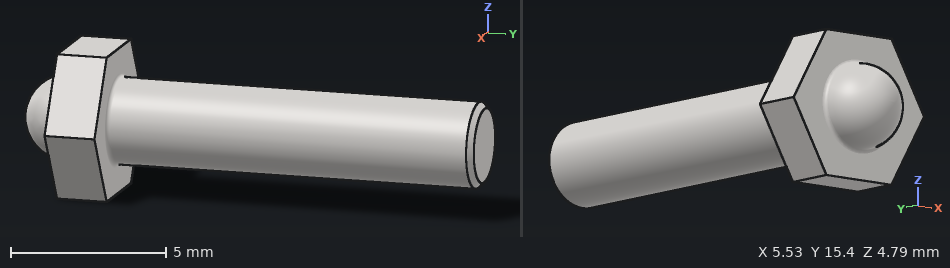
import cadquery as cq
import math

total_length = 15.39
across_flats = 4.79
across_corners = across_flats / math.cos(math.radians(30))
head_thickness = 1.68
shank_radius = 1.42
end_chamfer = 0.2
shank_fillet = 0.14
dome_fillet = 0.12

head_front = shank_radius
head_back = head_front + head_thickness
shank_length = total_length - head_back


def hex_head():
    """Hexagonal head with two opposite corners on the X axis."""
    back_face = cq.Workplane("XZ", origin=(0, head_back, 0))
    return back_face.polygon(6, across_corners).extrude(head_thickness)


def chamfered_shank():
    """Plain round shank with a chamfered free end."""
    shank = cq.Workplane("XZ", origin=(0, head_back, 0)).circle(shank_radius).extrude(-shank_length)
    return shank.faces(">Y").chamfer(end_chamfer)


def dome():
    """Front hemisphere, turned about the bolt axis."""
    middle = shank_radius * math.sqrt(0.5)
    profile = (
        cq.Workplane("XY")
        .threePointArc((middle, head_front - middle), (shank_radius, head_front))
        .lineTo(0, head_front)
        .close()
    )
    return profile.revolve(360, (0, 0, 0), (0, 1, 0))


def fillet_at_head_face(body, face_y, radius):
    """Fillet the circle where a round section meets the head face at the given Y."""
    reach = shank_radius + 0.15
    margin = 0.002
    rim = cq.selectors.BoxSelector(
        (-reach, face_y - margin, -reach), (reach, face_y + margin, reach), boundingbox=True
    )
    return body.edges(rim).fillet(radius)


bolt = hex_head().union(chamfered_shank()).union(dome())
bolt = fillet_at_head_face(bolt, head_back, shank_fillet)
result = fillet_at_head_face(bolt, head_front, dome_fillet)